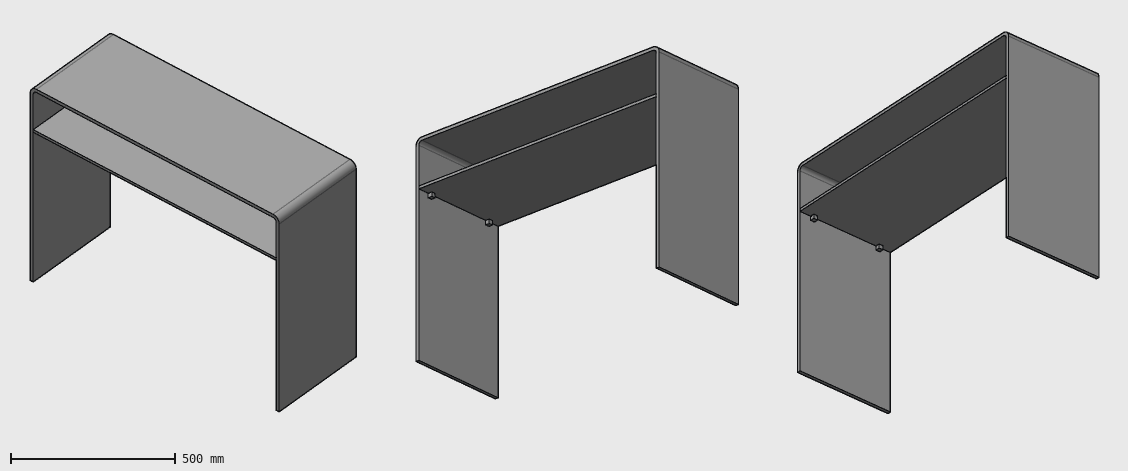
import cadquery as cq

WIDTH = 1000.0
DEPTH = 360.0
HEIGHT = 750.0

PANEL_THICKNESS = 12.0
BEND_OUTER_RADIUS = 25.0
BEND_INNER_RADIUS = BEND_OUTER_RADIUS - PANEL_THICKNESS
INNER_WIDTH = WIDTH - 2 * PANEL_THICKNESS
INNER_HEIGHT = HEIGHT - PANEL_THICKNESS

COMPARTMENT_HEIGHT = 150.0
SHELF_THICKNESS = 10.0
SHELF_BOTTOM_Z = INNER_HEIGHT - COMPARTMENT_HEIGHT - SHELF_THICKNESS

SUPPORT_SIZE = 15.0
SUPPORT_INSET = 50.0


def make_standing_block(width, depth, height):
    """Box centred on X and Y, resting on its workplane's Z = 0."""
    return cq.Workplane("XY").box(width, depth, height, centered=(True, True, False))


def make_frame():
    """Upside-down U bent from one sheet, open at the front, back and floor."""
    outside = (
        make_standing_block(WIDTH, DEPTH, HEIGHT)
        .edges("|Y and >Z")
        .fillet(BEND_OUTER_RADIUS)
    )
    opening = (
        make_standing_block(INNER_WIDTH, DEPTH, INNER_HEIGHT)
        .edges("|Y and >Z")
        .fillet(BEND_INNER_RADIUS)
    )
    return outside.cut(opening)


def make_shelf():
    """Flat shelf filling the full width between the legs and the full depth."""
    shelf_board = make_standing_block(INNER_WIDTH, DEPTH, SHELF_THICKNESS)
    return shelf_board.translate((0, 0, SHELF_BOTTOM_Z))


def make_support(side_x, side_y):
    """Cube against a leg's inner face, carrying one corner of the shelf."""
    center_x = side_x * (INNER_WIDTH - SUPPORT_SIZE) / 2
    center_y = side_y * (DEPTH / 2 - SUPPORT_INSET)
    bottom_z = SHELF_BOTTOM_Z - SUPPORT_SIZE
    cube = make_standing_block(SUPPORT_SIZE, SUPPORT_SIZE, SUPPORT_SIZE)
    return cube.translate((center_x, center_y, bottom_z))


frame = make_frame()
shelf = make_shelf()
supports = [make_support(side_x, side_y) for side_x in (-1, 1) for side_y in (-1, 1)]

result = cq.Compound.makeCompound(
    [frame.val(), shelf.val(), *[support.val() for support in supports]]
)